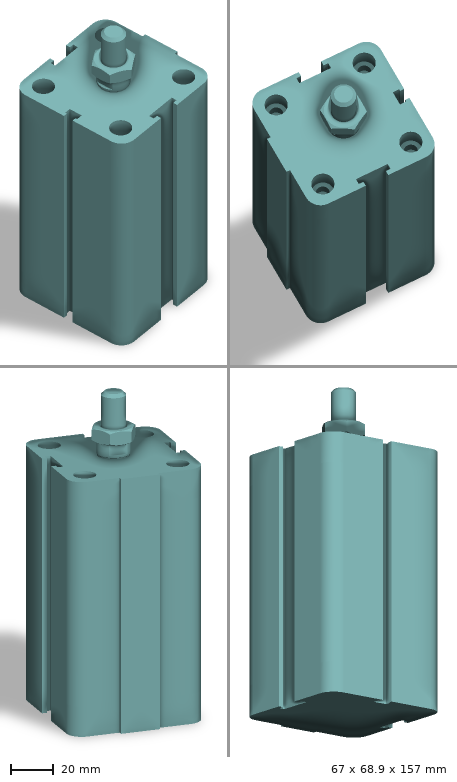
import cadquery as cq
import math

BODY_WIDTH = 67.0
BODY_HEIGHT = 125.8
CAP_HEIGHT = 14.8
CORNER_RADIUS = 7.7
RIB_WIDTH = 19.5
RIB_HEIGHT = 1.9

SIDE_MOUTH_WIDTH = 12.0
SIDE_CHANNEL_WIDTH = 16.8
SIDE_LIP = 2.4
SIDE_SLOT_DEPTH = 5.2
FRONT_MOUTH_WIDTH = 5.2
FRONT_CHANNEL_WIDTH = 7.2
FRONT_LIP = 2.2
FRONT_SLOT_DEPTH = 5.5

HOLE_SPACING = 46.6
HOLE_DIAMETER = 6.6
COUNTERBORE_DIAMETER = 10.8
COUNTERBORE_DEPTH = 9.4

TOTAL_HEIGHT = 157.0
SHANK_DIAMETER = 15.5
COLLAR_DIAMETER = 16.0
COLLAR_GAP = 0.6
FLAT_GAP = 1.9
FLATS_WIDTH = 13.0
STUD_DIAMETER = 12.0
STUD_CHAMFER = 1.5

NUT_BOTTOM = 133.1
NUT_HEIGHT = 7.0
NUT_ACROSS_FLATS = 19.0
NUT_FACE_DIAMETER = 18.4
NUT_CHAMFER_ANGLE = 30.0
NUT_COUNTERSINK_DIAMETER = 13.0

SHANK_BOTTOM = BODY_HEIGHT - CAP_HEIGHT
COLLAR_BOTTOM = BODY_HEIGHT + COLLAR_GAP


def cylinder(diameter, bottom, top):
    """Cylinder on the Z axis between two heights."""
    return cq.Workplane("XY", origin=(0, 0, bottom)).circle(diameter / 2).extrude(top - bottom)


def t_slot(mouth, channel, lip, depth, height):
    """T-slot cutter for the -Y face of the housing."""
    face_y = -BODY_WIDTH / 2
    opening = cq.Workplane("XY").center(0, face_y + depth / 2).rect(mouth, depth).extrude(height)
    channel_y = face_y + (lip + depth) / 2
    wide_part = cq.Workplane("XY").center(0, channel_y).rect(channel, depth - lip).extrude(height)
    return opening.union(wide_part)


def housing_section(bottom, height):
    """Length of the housing profile: rounded square, rear rib and three T-slots."""
    section = cq.Workplane("XY").rect(BODY_WIDTH, BODY_WIDTH).extrude(height)
    section = section.edges("|Z").fillet(CORNER_RADIUS)

    rib_length = BODY_WIDTH / 2 + RIB_HEIGHT
    rib = cq.Workplane("XY").center(0, rib_length / 2).rect(RIB_WIDTH, rib_length).extrude(height)
    section = section.union(rib)

    side_slot = t_slot(SIDE_MOUTH_WIDTH, SIDE_CHANNEL_WIDTH, SIDE_LIP, SIDE_SLOT_DEPTH, height)
    for angle in (-90, 90):
        section = section.cut(side_slot.rotate((0, 0, 0), (0, 0, 1), angle))
    section = section.cut(
        t_slot(FRONT_MOUTH_WIDTH, FRONT_CHANNEL_WIDTH, FRONT_LIP, FRONT_SLOT_DEPTH, height)
    )
    return section.translate((0, 0, bottom))


def make_housing():
    """Caps and barrel fused, with the joint lines kept as edges on the flush sides."""
    barrel_height = BODY_HEIGHT - 2 * CAP_HEIGHT
    bottom_cap = housing_section(0, CAP_HEIGHT)
    barrel = housing_section(CAP_HEIGHT, barrel_height)
    top_cap = housing_section(BODY_HEIGHT - CAP_HEIGHT, CAP_HEIGHT)

    top_cap = (
        top_cap.faces(">Z").workplane(origin=(0, 0, BODY_HEIGHT))
        .rect(HOLE_SPACING, HOLE_SPACING, forConstruction=True).vertices()
        .cboreHole(HOLE_DIAMETER, COUNTERBORE_DIAMETER, COUNTERBORE_DEPTH)
    )
    top_cap = top_cap.cut(cylinder(SHANK_DIAMETER, SHANK_BOTTOM, BODY_HEIGHT))

    return bottom_cap.union(barrel, clean=False).union(top_cap, clean=False)


def make_rod():
    """Shank in the housing, bevelled collar with two wrench flats, and chamfered stud."""
    shank = cylinder(SHANK_DIAMETER, SHANK_BOTTOM, COLLAR_BOTTOM)
    collar_chamfer = (COLLAR_DIAMETER - SHANK_DIAMETER) / 2
    collar = cylinder(COLLAR_DIAMETER, COLLAR_BOTTOM, NUT_BOTTOM).faces("<Z").chamfer(collar_chamfer)

    flats_bottom = BODY_HEIGHT + FLAT_GAP
    flats_height = NUT_BOTTOM - flats_bottom
    for side in (-1, 1):
        flat_cutter = (
            cq.Workplane("XY", origin=(0, 0, flats_bottom))
            .center(0, side * (FLATS_WIDTH + COLLAR_DIAMETER) / 2)
            .rect(COLLAR_DIAMETER, COLLAR_DIAMETER).extrude(flats_height)
        )
        collar = collar.cut(flat_cutter)

    stud = cylinder(STUD_DIAMETER, NUT_BOTTOM, TOTAL_HEIGHT).faces(">Z").chamfer(STUD_CHAMFER)
    return shank.union(collar).union(stud)


def make_nut():
    """Hex nut with its corners chamfered and its bore countersunk on both faces."""
    across_corners = NUT_ACROSS_FLATS / math.cos(math.pi / 6)
    nut = cq.Workplane("XY").polygon(6, across_corners).extrude(NUT_HEIGHT)

    face_radius = NUT_FACE_DIAMETER / 2
    corner_radius = across_corners / 2
    bevel = (corner_radius - face_radius) * math.tan(math.radians(NUT_CHAMFER_ANGLE))
    envelope = (
        cq.Workplane("XZ")
        .moveTo(0, 0)
        .lineTo(face_radius, 0)
        .lineTo(corner_radius, bevel)
        .lineTo(corner_radius, NUT_HEIGHT - bevel)
        .lineTo(face_radius, NUT_HEIGHT)
        .lineTo(0, NUT_HEIGHT)
        .close()
        .revolve(360, (0, 0, 0), (0, 1, 0))
    )
    nut = nut.intersect(envelope).cut(cylinder(STUD_DIAMETER, 0, NUT_HEIGHT))

    countersink = (NUT_COUNTERSINK_DIAMETER - STUD_DIAMETER) / 2
    nut = nut.edges(cq.selectors.RadiusNthSelector(0)).chamfer(countersink)
    return nut.translate((0, 0, NUT_BOTTOM))


housing = make_housing()
rod = make_rod()
nut = make_nut()

result = cq.Compound.makeCompound([body.solids().val() for body in (housing, rod, nut)])